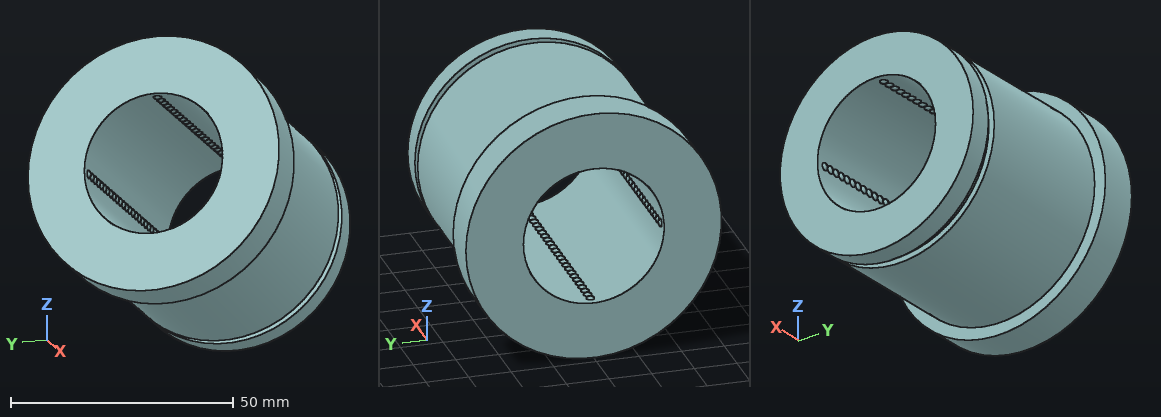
import cadquery as cq

length = 56.0
flange_diameter = 60.0
flange_thickness = 10.0
body_diameter = 54.0
bore_diameter = 33.0

groove_diameter = 51.0
groove_start = 48.0
groove_width = 2.2

ball_diameter = 2.3
ball_pitch = 2.1
ball_protrusion = 0.55
ball_count = 25
first_ball = (length - (ball_count - 1) * ball_pitch) / 2
row_count = 4


def disc(diameter, start, thickness):
    """Cylinder on the X axis, beginning at X = start."""
    return cq.Workplane("YZ", origin=(start, 0, 0)).circle(diameter / 2).extrude(thickness)


def sleeve():
    """Flanged sleeve with its ring groove and through bore."""
    body = disc(flange_diameter, 0, flange_thickness).union(disc(body_diameter, 0, length))
    ring = disc(body_diameter, groove_start, groove_width).cut(
        disc(groove_diameter, groove_start, groove_width)
    )
    return body.cut(ring).cut(disc(bore_diameter, 0, length))


def ball_row():
    """One row of balls along the top of the bore, each with its poles along X."""
    radial_place = bore_diameter / 2 + ball_diameter / 2 - ball_protrusion
    row_start = cq.Plane(origin=(first_ball, 0, radial_place), xDir=(0, 0, -1), normal=(1, 0, 0))
    places = [(0, 0, i * ball_pitch) for i in range(ball_count)]
    return cq.Workplane(row_start).pushPoints(places).sphere(ball_diameter / 2)


result = sleeve()
for row in range(row_count):
    result = result.union(ball_row().rotate((0, 0, 0), (1, 0, 0), row * 360 / row_count))